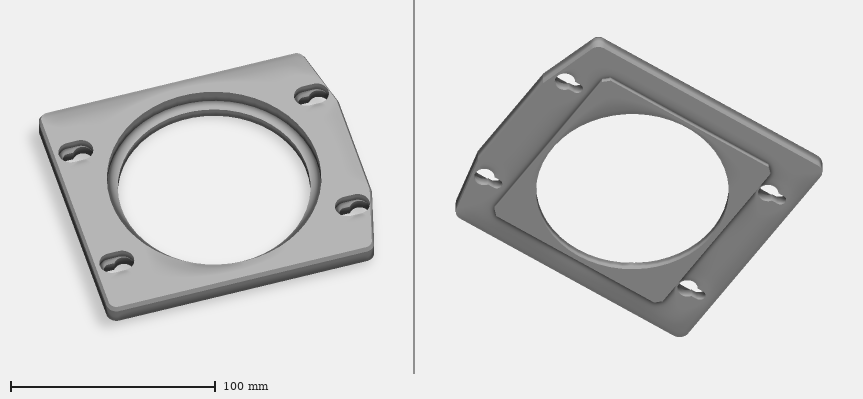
import cadquery as cq
import math

width = 125.0
length = 144.0
plate_thickness = 10.0
back_edge_width = 56.7
shoulder_drop = 8.9
corner_radius = 5.0
bevel_inset = 1.2
bevel_drop = 2.2

spigot_height = 2.6
spigot_side = 99.3
spigot_corner_cut = 3.0

bore_diameter = 94.2
recess_diameter = 104.8
recess_depth = 7.3

keyhole_spacing_x = 70.0
keyhole_spacing_y = 120.0
head_diameter = 10.0
neck_width = 5.5
keyhole_travel = 7.3
pocket_width = 12.0
pocket_travel = 5.3
pocket_depth = 4.6

bottom_z = -spigot_height
overall_height = plate_thickness + spigot_height


def make_plate():
    half_width = width / 2
    half_length = length / 2
    half_back = back_edge_width / 2
    shoulder_y = half_length - shoulder_drop
    outline = [
        (-half_width, -half_length),
        (half_width, -half_length),
        (half_width, shoulder_y),
        (half_back, half_length),
        (-half_back, half_length),
        (-half_width, shoulder_y),
    ]
    side_corners = cq.selectors.BoxSelector(
        (-width, -length, -plate_thickness),
        (width, (shoulder_y + half_length) / 2, 2 * plate_thickness),
    )
    plate = cq.Workplane("XY").polyline(outline).close().extrude(plate_thickness - bevel_drop)
    plate = plate.edges("|Z").edges(side_corners).fillet(corner_radius)
    bevel_taper = math.degrees(math.atan2(bevel_inset, bevel_drop))
    return plate.faces(">Z").wires().toPending().extrude(bevel_drop, taper=bevel_taper)


def make_spigot():
    spigot = (
        cq.Workplane("XY", origin=(0, 0, bottom_z))
        .rect(spigot_side, spigot_side)
        .extrude(spigot_height)
    )
    return spigot.edges("|Z").chamfer(spigot_corner_cut)


def make_opening():
    bore = cq.Workplane("XY", origin=(0, 0, bottom_z)).circle(bore_diameter / 2).extrude(overall_height)
    recess = (
        cq.Workplane("XY", origin=(0, 0, plate_thickness - recess_depth))
        .circle(recess_diameter / 2)
        .extrude(recess_depth)
    )
    return bore.union(recess)


def make_keyhole(x, y):
    """Keyhole through the plate with its sunk pocket, centred at (x, y)."""
    head = (
        cq.Workplane("XY", origin=(x, y + keyhole_travel / 2, 0))
        .circle(head_diameter / 2)
        .extrude(plate_thickness)
    )
    neck = (
        cq.Workplane("XY", origin=(x, y, 0))
        .slot2D(keyhole_travel + neck_width, neck_width, 90)
        .extrude(plate_thickness)
    )
    pocket = (
        cq.Workplane("XY", origin=(x, y, plate_thickness - pocket_depth))
        .slot2D(pocket_travel + pocket_width, pocket_width, 90)
        .extrude(pocket_depth)
    )
    return head.union(neck).union(pocket)


result = make_plate().union(make_spigot()).cut(make_opening())
for side_x in (-1, 1):
    for side_y in (-1, 1):
        keyhole = make_keyhole(side_x * keyhole_spacing_x / 2, side_y * keyhole_spacing_y / 2)
        result = result.cut(keyhole)